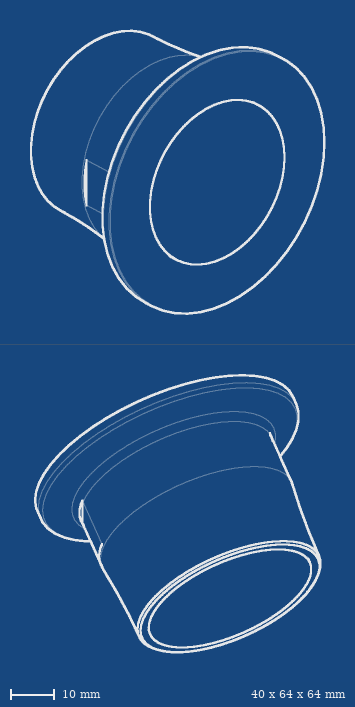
import cadquery as cq
import math

length = 40.0
flange_radius = 32.0
bore_radius = 20.0

tip_radius = 22.5
tip_bevel_length = 0.6
tip_bevel_depth = 0.5
taper_end_x = 20.3
body_radius = 23.75

cone_angle = math.radians(20)
body_end_x = 32.7
root_fillet = 2.0
rim_fillet = 1.0
front_edge_fillet = 0.2

flat_start_x = 21.1
flat_end_x = 33.1
flat_distance = 23.05

root_turn = math.pi / 2 - cone_angle
root_end_x = body_end_x + root_fillet * math.sin(root_turn)
root_end_radius = body_radius + root_fillet * (1 - math.cos(root_turn))


def cone_x(radius):
    """X position on the straight back face at the given radius."""
    return root_end_x + (radius - root_end_radius) * math.tan(cone_angle)


def make_turned_body():
    """Revolve the outer outline and bore about X."""
    taper_length = taper_end_x - tip_bevel_length
    taper_rise = body_radius - tip_radius
    taper_arc_radius = (taper_length**2 + taper_rise**2) / (2 * taper_rise)
    taper_half_turn = math.atan(taper_rise / taper_length)
    taper_mid = (
        tip_bevel_length + taper_arc_radius * math.sin(taper_half_turn),
        tip_radius + taper_arc_radius * (1 - math.cos(taper_half_turn)),
    )
    root_mid = (
        body_end_x + root_fillet * math.sin(root_turn / 2),
        body_radius + root_fillet * (1 - math.cos(root_turn / 2)),
    )
    rim_start_radius = flange_radius - rim_fillet * (1 - math.cos(root_turn))
    rim_start_x = cone_x(rim_start_radius)
    rim_end_x = rim_start_x + rim_fillet * math.sin(root_turn)
    rim_mid = (
        rim_end_x - rim_fillet * math.sin(root_turn / 2),
        flange_radius - rim_fillet * (1 - math.cos(root_turn / 2)),
    )
    front_arc_inset = front_edge_fillet * (1 - math.sqrt(0.5))
    outline = (
        cq.Workplane("XY")
        .moveTo(0, bore_radius)
        .lineTo(0, tip_radius - tip_bevel_depth)
        .lineTo(tip_bevel_length, tip_radius)
        .threePointArc(taper_mid, (taper_end_x, body_radius))
        .lineTo(body_end_x, body_radius)
        .threePointArc(root_mid, (root_end_x, root_end_radius))
        .lineTo(rim_start_x, rim_start_radius)
        .threePointArc(rim_mid, (rim_end_x, flange_radius))
        .lineTo(length - front_edge_fillet, flange_radius)
        .threePointArc(
            (length - front_arc_inset, flange_radius - front_arc_inset),
            (length, flange_radius - front_edge_fillet),
        )
        .lineTo(length, bore_radius)
        .close()
    )
    return outline.revolve(360, (0, 0, 0), (1, 0, 0))


def make_flat_cutter(side):
    """Block outside the flat on one Y side (side is 1 or -1)."""
    cut_depth = flange_radius - flat_distance
    center_x = (flat_start_x + flat_end_x) / 2
    center_y = side * (flat_distance + cut_depth / 2)
    block = cq.Workplane("XY").box(flat_end_x - flat_start_x, cut_depth, 2 * body_radius)
    return block.translate((center_x, center_y, 0))


result = make_turned_body()
for side in (-1, 1):
    result = result.cut(make_flat_cutter(side))